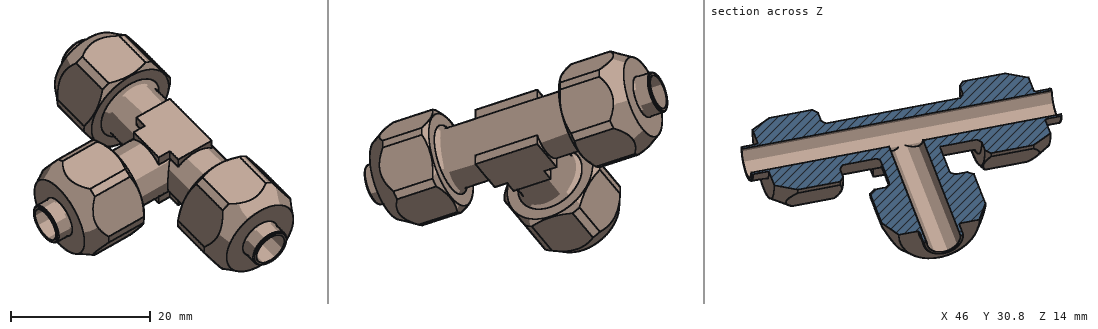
import cadquery as cq
import math

ARM_LENGTH = 23.0
ARM_ANGLES = (0, 180, -90)

TUBE_RADIUS = 3.0
BORE_RADIUS = 2.5
TIP_CHAMFER_DEPTH = 0.15
TIP_CHAMFER_LENGTH = 0.2
TUBE_SHOULDER_RADIUS = 3.1
TUBE_SHOULDER_LENGTH = 0.35

NUT_ACROSS_FLATS = 14.0
NUT_CORNER_RADIUS = 7.75
NUT_INNER_END = 10.5
NUT_OUTER_END = 20.5
NUT_OUTER_FACE_RADIUS = 6.0
NUT_OUTER_CONE_ANGLE = 30.0
NUT_INNER_FACE_RADIUS = 6.9
NUT_INNER_CONE_ANGLE = 50.0

PIPE_RADIUS = 4.5
COLLAR_START = 9.75
COLLAR_FILLET = 0.5
COLLAR_CONE_ANGLE = 55.0
CROTCH_FILLET = 0.65
CROTCH_BOX_HALF_HEIGHT = 0.45

BLOCK_SIZE = 10.0
BLOCK_HALF_WIDTH = 3.0
BLOCK_STEM_REACH = BLOCK_SIZE / 2


def make_pipes():
    """Run along X with a branch along -Y."""
    run = cq.Workplane("YZ").circle(PIPE_RADIUS).extrude(NUT_INNER_END, both=True)
    branch = cq.Workplane("XZ").circle(PIPE_RADIUS).extrude(NUT_INNER_END)
    return run.union(branch)


def make_block():
    """T-shaped block, taller than the pipes."""
    bar = cq.Workplane("XY").box(BLOCK_SIZE, 2 * BLOCK_HALF_WIDTH, BLOCK_SIZE)
    stem = (
        cq.Workplane("XY")
        .box(2 * BLOCK_HALF_WIDTH, BLOCK_STEM_REACH, BLOCK_SIZE)
        .translate((0, -BLOCK_STEM_REACH / 2, 0))
    )
    return bar.union(stem)


def make_junction():
    """Pipes and block, with the two pipe-to-pipe corners outside the block rounded."""
    junction = make_pipes().union(make_block())
    crotches = cq.selectors.BoxSelector(
        (-PIPE_RADIUS, -PIPE_RADIUS, -CROTCH_BOX_HALF_HEIGHT),
        (PIPE_RADIUS, -BLOCK_HALF_WIDTH, CROTCH_BOX_HALF_HEIGHT),
    )
    return junction.edges(crotches).fillet(CROTCH_FILLET)


def make_nut():
    """Hexagon nut along +X with rounded corners and a cone at each end."""
    length = NUT_OUTER_END - NUT_INNER_END
    corner_diameter = NUT_ACROSS_FLATS / math.cos(math.pi / 6)
    hexagon = (
        cq.Workplane("YZ", origin=(NUT_INNER_END, 0, 0))
        .polygon(6, corner_diameter)
        .extrude(length)
    )
    outer_rise = NUT_CORNER_RADIUS - NUT_OUTER_FACE_RADIUS
    inner_rise = NUT_CORNER_RADIUS - NUT_INNER_FACE_RADIUS
    outer_run = outer_rise / math.tan(math.radians(NUT_OUTER_CONE_ANGLE))
    inner_run = inner_rise / math.tan(math.radians(NUT_INNER_CONE_ANGLE))
    envelope = (
        cq.Workplane("XY")
        .moveTo(NUT_INNER_END, 0)
        .lineTo(NUT_INNER_END, NUT_INNER_FACE_RADIUS)
        .lineTo(NUT_INNER_END + inner_run, NUT_CORNER_RADIUS)
        .lineTo(NUT_OUTER_END - outer_run, NUT_CORNER_RADIUS)
        .lineTo(NUT_OUTER_END, NUT_OUTER_FACE_RADIUS)
        .lineTo(NUT_OUTER_END, 0)
        .close()
        .revolve(360, (0, 0, 0), (1, 0, 0))
    )
    return hexagon.intersect(envelope)


def make_arm():
    """Collar, nut and tube stub along +X."""
    collar_angle = math.radians(COLLAR_CONE_ANGLE)

    def arc_point(angle):
        """Axial and radial position on the collar fillet, by its angle from the pipe."""
        return (
            COLLAR_START + COLLAR_FILLET * math.sin(angle),
            PIPE_RADIUS + COLLAR_FILLET * (1 - math.cos(angle)),
        )

    cone_start, cone_start_radius = arc_point(collar_angle)
    collar_radius = cone_start_radius + (NUT_INNER_END - cone_start) * math.tan(collar_angle)
    core = (
        cq.Workplane("XY")
        .moveTo(COLLAR_START, 0)
        .lineTo(COLLAR_START, PIPE_RADIUS)
        .threePointArc(arc_point(collar_angle / 2), arc_point(collar_angle))
        .lineTo(NUT_INNER_END, collar_radius)
        .lineTo(NUT_OUTER_END, collar_radius)
        .lineTo(NUT_OUTER_END, TUBE_SHOULDER_RADIUS)
        .lineTo(NUT_OUTER_END + TUBE_SHOULDER_LENGTH, TUBE_RADIUS)
        .lineTo(ARM_LENGTH - TIP_CHAMFER_LENGTH, TUBE_RADIUS)
        .lineTo(ARM_LENGTH, TUBE_RADIUS - TIP_CHAMFER_DEPTH)
        .lineTo(ARM_LENGTH, 0)
        .close()
        .revolve(360, (0, 0, 0), (1, 0, 0))
    )
    return make_nut().union(core)


def make_bore():
    """Bore of one arm along +X, from the centre to the tube tip."""
    return cq.Workplane("YZ").circle(BORE_RADIUS).extrude(ARM_LENGTH)


result = make_junction()
for angle in ARM_ANGLES:
    result = result.union(make_arm().rotate((0, 0, 0), (0, 0, 1), angle))
for angle in ARM_ANGLES:
    result = result.cut(make_bore().rotate((0, 0, 0), (0, 0, 1), angle))